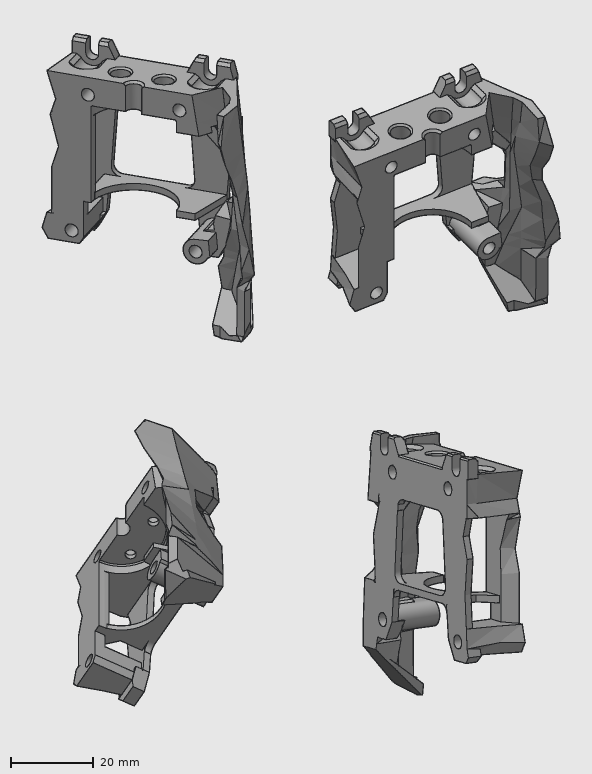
import cadquery as cq

DEPTH = 14.65
GUSSET_LEG = 3.1
REAR_CHAMFER = 0.4
PLATE = 1.8
STRIP_BACK_Y = -11.9
BLOCK_BOTTOM = -10.8
FOOT_TOP = -38.3
FOOT_BOTTOM = -45.3
HEEL_BOTTOM = -46.9
HEEL_DEPTH = 3.2
HEEL_SLOPE = 0.6
LOWEST = -64.0
WING_TIP_Y = -26.26
WING_RIGHT_X = 33.65
LEFT_X = -24.0

SCREW_DIAMETER = 3.4
UPPER_HOLE_X, UPPER_HOLE_Z = 12.0, -4.7
LOWER_HOLE_X, LOWER_HOLE_Z = 16.25, -42.1
BOSS_RADIUS = 3.3
COLLAR_BACK_Y = -9.5

INSERT_X, INSERT_Y = 5.7, -8.9
INSERT_DIAMETER = 5.0
INSERT_RIM_DIAMETER = 6.0
INSERT_DEPTH = 6.0
INSERT_PILOT_DIAMETER = 2.7

BORE_RADIUS = 11.2
BORE_TOP = -7.5
BORE_CHAMFER = 0.35
CHANNEL_RADIUS = 2.1
CHANNEL_CHAMFER = 0.6

SHELF_TOP, SHELF_BOTTOM = -31.9, -33.7
OPENING_FILLET = 2.4
OPENING_TOP_X, OPENING_BOTTOM_X = 9.6, 11.1
LEG_INNER_X = 11.4
LEG_FILLET = 2.0

NOTCH_Y = -7.8

POST_TOP = 4.0
POST_DEPTH = 3.0
POST_CHAMFER = 0.8
SLOT_X = 15.5
SLOT_WIDTH = 3.3
SCREW_AXIS_Z = 0.65
HEAD_RADIUS = 3.2
FLARE_DEPTH = 0.85
POCKET_SHOULDER_Y = -8.15
POCKET_FLOOR_HALF_WIDTH, POCKET_FLOOR_END_Y = 2.83, -9.4
POCKET_RIM_HALF_WIDTH, POCKET_RIM_END_Y = 4.0, -10.7

MARGIN = 1.0


def prism_y(outline, y_front, y_back):
    """Solid with an (X, Z) outline between two Y planes."""
    plane = cq.Workplane("XZ", origin=(0, y_back, 0))
    return plane.polyline(outline).close().extrude(y_back - y_front)


def prism_x(outline, x_left, x_right):
    """Solid with a (Y, Z) outline between two X planes."""
    plane = cq.Workplane("YZ", origin=(x_left, 0, 0))
    return plane.polyline(outline).close().extrude(x_right - x_left)


def cylinder_y(x, z, radius, y_front, y_back):
    plane = cq.Workplane("XZ", origin=(x, y_back, z))
    return plane.circle(radius).extrude(y_back - y_front)


def faceted_solid(sections):
    """Closed solid with triangular facets through rings of equally many points."""
    faces = []

    def add_face(*corners):
        points = [cq.Vector(*corner) for corner in corners]
        faces.append(cq.Face.makeFromWires(cq.Wire.makePolygon(points, close=True)))

    for ring, next_ring in zip(sections, sections[1:]):
        count = len(ring)
        for i in range(count):
            j = (i + 1) % count
            add_face(ring[i], ring[j], next_ring[j])
            add_face(ring[i], next_ring[j], next_ring[i])
    add_face(*sections[0])
    add_face(*sections[-1])
    solid = cq.Solid.makeSolid(cq.Shell.makeShell(faces))
    return cq.Workplane(obj=solid.fix())


def at_z(z, plan):
    return [(x, y, z) for x, y in plan]


def at_y(y, elevation):
    return [(x, y, z) for x, z in elevation]


def top_block():
    """Top block: zigzag left side and a slanted notch at the right front."""
    front = -DEPTH

    def level(z, left_front, left_rear, left_back, right_front, notch_x):
        plan = [(left_front, front), (right_front, front), (notch_x, NOTCH_Y),
                (21.2, 0), (left_back, 0), (left_rear, -2.95)]
        return at_z(z, plan)

    block = faceted_solid([
        level(0, -22.75, -20.7, -20.3, 15.3, 20.6),
        level(-7.3, -20.45, -20.2, -20.2, 16.5, 21.5),
        level(BLOCK_BOTTOM, -21.6, -21.2, -20.2, 17.1, 22.0),
    ])
    rear_edge = prism_x([(-REAR_CHAMFER, 0), (0, -REAR_CHAMFER), (0, 0)], LEFT_X, WING_RIGHT_X)
    return block.cut(rear_edge)


def rear_plate():
    """Rear plate with zigzag sides, a rounded opening and a gap between the legs."""
    outline = [
        (-20.2, BLOCK_BOTTOM + MARGIN), (-18.6, -15.5), (-20.3, -20.9), (-19.4, -30),
        (-20.0, FOOT_TOP), (-20.3, -43.2), (-18.5, FOOT_BOTTOM), (-12.2, LOWER_HOLE_Z),
        (-LEG_INNER_X, SHELF_BOTTOM), (LEG_INNER_X, SHELF_BOTTOM), (12.2, LOWER_HOLE_Z), (14.0, FOOT_BOTTOM),
        (20.0, FOOT_BOTTOM), (19.4, SHELF_TOP), (20.25, -21.6), (17.6, -13),
        (18.5, BLOCK_BOTTOM + MARGIN),
    ]
    plate = prism_y(outline, -PLATE, 0)
    opening_outline = [(-OPENING_TOP_X, BLOCK_BOTTOM), (OPENING_TOP_X, BLOCK_BOTTOM),
                       (OPENING_BOTTOM_X, SHELF_TOP), (-OPENING_BOTTOM_X, SHELF_TOP)]
    opening = prism_y(opening_outline, -PLATE, 0)
    opening = opening.edges("|Y").fillet(OPENING_FILLET)
    for side in (-1, 1):
        x_in, x_out = side * (LEG_INNER_X - LEG_FILLET), side * LEG_INNER_X
        z_in = SHELF_BOTTOM - LEG_FILLET
        fill = prism_y([(x_out, SHELF_BOTTOM), (x_in, SHELF_BOTTOM), (x_out, z_in)], -PLATE, 0)
        plate = plate.union(fill.cut(cylinder_y(x_in, z_in, LEG_FILLET, -PLATE, 0)))
    gusset_bottom = BLOCK_BOTTOM - GUSSET_LEG
    gusset_profile = [(-PLATE, gusset_bottom), (-PLATE - GUSSET_LEG, BLOCK_BOTTOM),
                      (0, BLOCK_BOTTOM), (0, gusset_bottom)]
    gusset = prism_x(gusset_profile, OPENING_TOP_X, 17.6)
    return plate.cut(opening).union(gusset)


def left_strip():
    """Front strip of the left leg; its outer side leans inwards to the rear."""
    front_edge = [(-21.6, BLOCK_BOTTOM), (-21.9, -11.7), (-19.7, -20), (-21.5, -25.8), (-21.5, FOOT_TOP)]
    rear_edge = [(-21.2, BLOCK_BOTTOM), (-20.0, -12.5), (-17.2, -20), (-17.5, -26.5), (-17.5, FOOT_TOP)]
    inner_edge = [(-13.1, FOOT_TOP), (-13.1, SHELF_BOTTOM), (-11.1, SHELF_BOTTOM), (-11.1, BLOCK_BOTTOM)]
    front = at_y(-DEPTH, front_edge + inner_edge)
    rear = at_y(STRIP_BACK_Y, rear_edge + inner_edge)
    return faceted_solid([front, rear])


def left_foot():
    """Left foot, tapering sideways towards the rear, with its heel."""
    inner = [(-14.2, FOOT_BOTTOM), (-13.1, -43.4), (-13.1, FOOT_TOP)]
    front = [(-22.75, FOOT_TOP), (LEFT_X, -42.6), (-22.4, FOOT_BOTTOM)] + inner
    middle = [(-21.3, FOOT_TOP), (-22.0, -42.3), (-20.6, FOOT_BOTTOM)] + inner
    rear = [(-20.0, FOOT_TOP), (-20.3, -43.2), (-18.5, FOOT_BOTTOM)] + inner
    foot = faceted_solid([at_y(-DEPTH, front), at_y(-8.5, middle), at_y(0, rear)])
    return foot.union(heel(-1))


def heel(side):
    """Low pad behind a foot, on the left (-1) or the right (+1)."""
    outline = [(12.2, LOWER_HOLE_Z), (14.8, HEEL_BOTTOM), (19.8, HEEL_BOTTOM), (20.9, FOOT_BOTTOM),
               (20.0, LOWER_HOLE_Z)]
    pad = prism_y([(side * x, z) for x, z in outline], -HEEL_DEPTH - HEEL_SLOPE, 0)
    profile = [(0, HEEL_BOTTOM), (-HEEL_DEPTH, HEEL_BOTTOM), (-HEEL_DEPTH - HEEL_SLOPE, FOOT_BOTTOM),
               (-HEEL_DEPTH - HEEL_SLOPE, LOWER_HOLE_Z), (0, LOWER_HOLE_Z)]
    return pad.intersect(prism_x(profile, LEFT_X, WING_RIGHT_X))


def right_boss():
    """Screw boss of the right leg, running forward from the rear plate to the wing."""
    barrel = cylinder_y(LOWER_HOLE_X, LOWER_HOLE_Z, BOSS_RADIUS, -DEPTH, 0)
    body_outline = [(LOWER_HOLE_X, LOWER_HOLE_Z - BOSS_RADIUS), (LOWER_HOLE_X, LOWER_HOLE_Z + BOSS_RADIUS),
                    (LOWER_HOLE_X + 1, FOOT_TOP), (23.5, -37.4), (22.0, -42), (20.2, FOOT_BOTTOM)]
    body = prism_y(body_outline, COLLAR_BACK_Y, 0)
    collar_outline = [(LOWER_HOLE_X, LOWER_HOLE_Z - BOSS_RADIUS), (LOWER_HOLE_X, LOWER_HOLE_Z + BOSS_RADIUS),
                      (19.6, -38.6), (20.0, -43)]
    collar = prism_y(collar_outline, -DEPTH, COLLAR_BACK_Y)
    web_plan_front = [(19.2, FOOT_TOP), (18.9, -36.2), (19.4, -34.1), (24.5, -34.6), (24.7, -37.2)]
    web_plan_rear = [(18.0, FOOT_TOP), (18.0, -36.2), (19.2, -33.2), (21.5, -33.4), (23.0, -37.2)]
    web = faceted_solid([at_y(COLLAR_BACK_Y, web_plan_front), at_y(-1, web_plan_rear)])
    return barrel.union(body).union(collar).union(web).union(heel(1))


def shelf():
    """Horizontal shelf joining both legs behind the bore."""
    plan = [(-12.75, -1), (-12.75, -7.8), (-16.8, STRIP_BACK_Y), (-16.8, -12.5), (-8, -12.5), (-8, -DEPTH),
            (16.1, -DEPTH), (19.4, -PLATE), (19.4, -1)]
    plane = cq.Workplane("XY", origin=(0, 0, SHELF_BOTTOM))
    return plane.polyline(plan).close().extrude(SHELF_TOP - SHELF_BOTTOM)


def wing():
    """Faceted wing: at each height, a plan outline along the outer side and back along the inner side.

    Corners in order: inner rear, outer rear, outer bend, outer tip, inner tip,
    inner crease on the tip side, inner crease on the root side, inner root.
    """
    levels = [
        (0.0, [(18, 0), (21.2, 0), (27.8, -16), (27, -23.1),
               (25.1, -22.8), (25.4, -15.3), (24.5, -12.6), (20.6, -7.8)]),
        (-7.3, [(18, 0), (22, 0), (28.2, -15), (27.5, WING_TIP_Y),
               (25.45, -23), (25.6, -14), (24.8, -11.5), (21.5, -8)]),
        (-13.0, [(18, 0), (22.6, 0), (28.5, -14), (27.8, -23.9),
               (25.8, -20.5), (25.5, -12), (25.2, -10.6), (22, -8)]),
        (-18.5, [(18, 0), (23, 0), (28.7, -13), (28.0, -20.3),
               (26.2, -17.6), (25.9, -10.7), (24.9, -10.6), (23.9, -9.3)]),
        (-23.4, [(18, 0), (23.4, 0), (28.9, -12), (28.9, -19),
               (27, -17.3), (26.4, -10.9), (24.7, -10.8), (23.9, -9.3)]),
        (-29.8, [(18, 0), (23.8, 0), (29, -11), (30.9, -20.6),
               (28.6, -19), (27, -11.3), (24.5, -11.1), (23.8, -9.2)]),
        (-36.1, [(18, 0), (24.2, 0), (29, -10), (32.6, -20.5),
               (29.3, -18.5), (27.5, -11.7), (24.2, -11.4), (23, -9)]),
        (-43.1, [(18, 0), (24.6, 0), (29.1, -9.1), (WING_RIGHT_X, -19.6),
               (29.9, -18.8), (27.1, -12.1), (25.65, -9.85), (21.4, -8.8)]),
        (-45.4, [(18, 0), (24.6, 0), (29.1, -9.1), (32, -18.3),
               (30, -18.2), (27.1, -12.1), (25, -9.2), (21.1, -8.3)]),
        (-48.6, [(18.8, 0), (24.6, 0), (31.4, -16.5), (30.7, -18.7),
               (28.1, -17.2), (27.05, -12.1), (24.2, -8.4), (19.4, -7.6)]),
        (-57.0, [(20.4, 0), (24.6, 0), (31.4, -16.5), (30.7, -18.7),
               (28.1, -17.2), (27.05, -12.1), (22.2, -6.5), (20.3, -6.5)]),
        (LOWEST, [(21.4, 0), (24.6, 0), (31.4, -16.5), (30.7, -18.7),
               (28, -17.3), (27.05, -12.1), (23, -6.5), (21.6, -6.5)]),
    ]
    shell = faceted_solid([at_z(z, plan) for z, plan in levels])
    return shell.union(wing_bracket()).cut(wing_window()).union(wing_lip()).cut(outside_wing())


def wing_bracket():
    """Sloping bracket under the block where the wing starts."""
    rear = [(16.5, -10), (17.0, -12.5), (23.0, -17.6), (23.5, -17), (23.5, -10)]
    front = [(16.8, -10), (17.2, BLOCK_BOTTOM), (23.0, -16.5), (24.5, -15), (20, -9)]
    return faceted_solid([at_y(-2, rear), at_y(-11.5, front)])


def wing_window():
    """Opening between the rear plate and the wing, clear from the front and from the side."""
    front_outline = [(17.0, -13), (17.6, -13), (24.25, -18.6), (23.95, -29.8), (19.7, -33.4), (17.0, -33.4)]
    side_outline = [(0, -13.4), (-2.0, -13.9), (-9.3, -19.8), (-9.3, -27.7), (-3.4, -31.9), (0, -33)]
    from_front = prism_y(front_outline, -DEPTH, MARGIN)
    from_side = prism_x(side_outline, 17.0, WING_RIGHT_X)
    return from_front.union(from_side)


def wing_lip():
    """Sloping floor that closes the lower end of the wing."""
    outline = [(19.9, -54.5), (21.4, -63.6), (23.8, LOWEST), (30.1, -62.1), (31.4, -57.5),
               (29, -50), (20, -50)]
    side = [(-3, -52.0), (-7, -54.8), (-17.1, -62), (-18.7, -60.8), (-19.3, -62), (-15.5, LOWEST), (-3, -54)]
    return prism_y(outline, -20, 0).intersect(prism_x(side, 19, 32))


def outside_wing():
    """Space below the sloping lower edges, beyond the outer side and ahead of the lower rim."""
    floor_z = LOWEST - 6
    far_front_y = -24
    far_right_x = 40
    side_profile = [(MARGIN, -49.2), (-15.5, LOWEST), (-19.3, -62), (far_front_y, -59.4),
                    (far_front_y, floor_z), (MARGIN, floor_z)]
    below_side = prism_x(side_profile, 15, far_right_x)
    front_profile = [(20, -63.3), (23.8, LOWEST), (30.1, -62.1), (31.4, -57.5), (far_right_x, -57.5),
                     (far_right_x, floor_z), (20, floor_z)]
    below_front = prism_y(front_profile, far_front_y, MARGIN)
    lower_space = cq.Workplane("XY", origin=(0, 0, LOWEST))
    side_plan = [(24.8, 0), (WING_RIGHT_X, -19.6), (far_right_x, -19.6), (far_right_x, 0)]
    beyond_side = lower_space.polyline(side_plan).close().extrude(40)
    front_plan = [(18, -15.2), (23, -15.4), (30.5, -19.6), (34, -19.6), (34, far_front_y), (18, far_front_y)]
    ahead = lower_space.polyline(front_plan).close().extrude(16)
    return below_side.union(below_front).union(beyond_side).union(ahead)


def posts():
    """Two pairs of chamfered posts along the rear top edge, split by the slots."""
    outlines = [
        [(-20.7, 0), (-20.7, POST_TOP), (-11.5, POST_TOP), (-9.45, 0)],
        [(9.4, 0), (11.5, POST_TOP), (20.5, POST_TOP), (21.6, 0)],
    ]
    pairs = cq.Workplane()
    for outline in outlines:
        left_root = (outline[0][0], -MARGIN)
        right_root = (outline[-1][0], -MARGIN)
        bar = prism_y([left_root] + outline + [right_root], -POST_DEPTH, 0)
        bar = bar.edges(">Z and <Y").chamfer(POST_CHAMFER)
        bar = bar.edges(">Z and >Y").chamfer(POST_CHAMFER / 2)
        pairs = pairs.add(bar)
    return pairs.combine()


def u_shape(x, z, half_width, end_y):
    """Plan outline of a pocket with straight sides and a shallow arc at its front end."""
    plane = cq.Workplane("XY", origin=(x, 0, z))
    return (plane.moveTo(-half_width, -POST_DEPTH).lineTo(-half_width, POCKET_SHOULDER_Y)
            .threePointArc((0, end_y), (half_width, POCKET_SHOULDER_Y))
            .lineTo(half_width, -POST_DEPTH).close())


def screw_pocket(x):
    """Slot between posts plus the flared screw head trough in the top face."""
    lower = u_shape(x, -FLARE_DEPTH, POCKET_FLOOR_HALF_WIDTH, POCKET_FLOOR_END_Y).wires().val()
    upper = u_shape(x, 0, POCKET_RIM_HALF_WIDTH, POCKET_RIM_END_Y).wires().val()
    flare = cq.Workplane(obj=cq.Solid.makeLoft([lower, upper], True))
    trough = cylinder_y(x, SCREW_AXIS_Z, HEAD_RADIUS, POCKET_RIM_END_Y, -POST_DEPTH)
    pocket_limit = u_shape(x, -HEAD_RADIUS, POCKET_FLOOR_HALF_WIDTH, POCKET_FLOOR_END_Y).extrude(HEAD_RADIUS)
    trough = trough.intersect(pocket_limit)
    half = SLOT_WIDTH / 2
    slot = cylinder_y(x, SCREW_AXIS_Z, half, -POST_DEPTH - MARGIN, MARGIN)
    slot_outline = [(x - half, SCREW_AXIS_Z), (x + half, SCREW_AXIS_Z),
                    (x + half, POST_TOP + MARGIN), (x - half, POST_TOP + MARGIN)]
    slot_sides = prism_y(slot_outline, -POST_DEPTH - MARGIN, MARGIN)
    return flare.union(trough).union(slot).union(slot_sides)


def insert_hole(x):
    """Vertical chamfered insert pocket with a pilot hole through the block."""
    chamfer = (INSERT_RIM_DIAMETER - INSERT_DIAMETER) / 2
    profile = [(0, 0), (INSERT_RIM_DIAMETER / 2, 0), (INSERT_DIAMETER / 2, -chamfer),
               (INSERT_DIAMETER / 2, -INSERT_DEPTH), (INSERT_PILOT_DIAMETER / 2, -INSERT_DEPTH),
               (INSERT_PILOT_DIAMETER / 2, BLOCK_BOTTOM - MARGIN), (0, BLOCK_BOTTOM - MARGIN)]
    plane = cq.Workplane("XZ", origin=(x, INSERT_Y, 0))
    return plane.polyline(profile).close().revolve(360, (0, 0), (0, 1))


def front_bore():
    """Wide bore through block and shelf, with the narrow channel above it."""
    bore_base = cq.Workplane("XY", origin=(0, -DEPTH, SHELF_BOTTOM))
    bore = bore_base.circle(BORE_RADIUS).extrude(BORE_TOP - SHELF_BOTTOM)
    bore = bore.faces(">Z").chamfer(BORE_CHAMFER)
    rim = CHANNEL_RADIUS + CHANNEL_CHAMFER
    profile = [(0, 0), (rim, 0), (CHANNEL_RADIUS, -CHANNEL_CHAMFER), (CHANNEL_RADIUS, BORE_TOP),
               (0, BORE_TOP)]
    channel_plane = cq.Workplane("XZ", origin=(0, -DEPTH, 0))
    channel = channel_plane.polyline(profile).close().revolve(360, (0, 0), (0, 1))
    return bore.union(channel)


def build():
    body = top_block()
    for piece in (rear_plate(), left_strip(), left_foot(), right_boss(), shelf(), wing(), posts()):
        body = body.union(piece)
    body = body.cut(front_bore())
    for side in (-1, 1):
        body = body.cut(screw_pocket(side * SLOT_X))
        body = body.cut(insert_hole(side * INSERT_X))
        for x, z in ((UPPER_HOLE_X, UPPER_HOLE_Z), (LOWER_HOLE_X, LOWER_HOLE_Z)):
            body = body.cut(cylinder_y(side * x, z, SCREW_DIAMETER / 2, -DEPTH - MARGIN, MARGIN))
    return body


result = build()